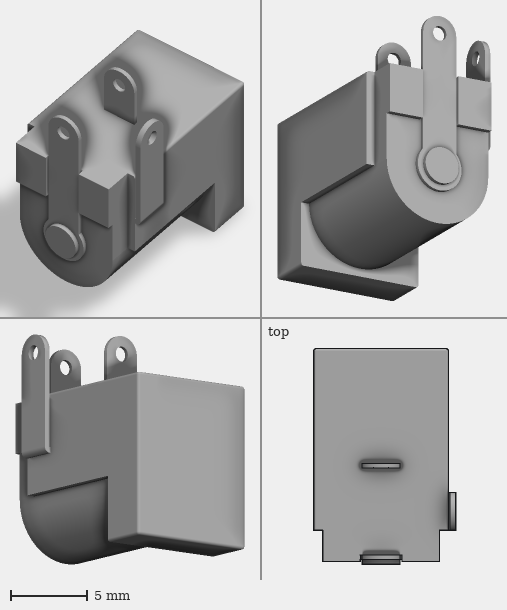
import cadquery as cq


body_width = 8.88
body_height = 10.9
body_depth = 11.96
foot_depth = 3.3
edge_radius = 0.2

barrel_radius = 3.85
barrel_z = 4.4
barrel_front = 13.57

pad_front = 14.0
pad_bottom = 7.54
pad_gap = 2.71

total_height = 14.9
tab_width = 2.5
tab_thickness = 0.3
tab_hole_diameter = 1.0
tab_hole_drop = 1.2
middle_tab_front = 7.85
side_tab_thickness = 0.4
side_tab_outer_x = 4.92
side_tab_bottom = 6.85
bend_radius = 0.39

washer_radius = 1.65
rivet_radius = tab_width / 2
rivet_front = 14.2


def block(width, front, back, bottom, top):
    """Box centred on X; front and back are distances from the back face."""
    return (
        cq.Workplane("XY")
        .box(width, front - back, top - bottom, centered=(True, False, False))
        .translate((0, -front, bottom))
    )


def disc(radius, front, back):
    """Cylinder on the barrel axis, running along Y."""
    return (
        cq.Workplane("XZ", origin=(0, -back, barrel_z))
        .circle(radius)
        .extrude(front - back)
    )


def tab(bottom, thickness):
    """Round-topped terminal centred on X, its back at Y = 0 and its front at -thickness."""
    round_z = total_height - tab_width / 2
    return (
        cq.Workplane("XZ")
        .moveTo(-tab_width / 2, bottom)
        .lineTo(tab_width / 2, bottom)
        .lineTo(tab_width / 2, round_z)
        .threePointArc((0, total_height), (-tab_width / 2, round_z))
        .close()
        .pushPoints([(0, total_height - tab_hole_drop)])
        .circle(tab_hole_diameter / 2)
        .extrude(thickness)
    )


def make_housing():
    """Rounded box, cut away in front of the foot and below the barrel axis."""
    box = block(body_width, body_depth, 0, 0, body_height)
    box = box.edges("|Y or >Y").fillet(edge_radius)
    return box.cut(block(body_width, body_depth, foot_depth, 0, barrel_z))


def make_nose():
    """Barrel, the narrow block above it and the two front pads."""
    nose = disc(barrel_radius, barrel_front, 0)
    nose = nose.union(block(2 * barrel_radius, barrel_front, foot_depth, barrel_z, body_height))
    pads = block(2 * barrel_radius, pad_front, barrel_front, pad_bottom, body_height)
    pads = pads.cut(block(pad_gap, pad_front, barrel_front, pad_bottom, body_height))
    return nose.union(pads)


def make_side_tab():
    """Terminal standing clear of the +X side, joined to it by a rounded bend."""
    upright = tab(side_tab_bottom, side_tab_thickness)
    upright = upright.rotate((0, 0, 0), (0, 0, 1), 90)
    upright = upright.translate((side_tab_outer_x - side_tab_thickness, tab_width / 2 - body_depth, 0))
    bend = cq.Workplane("XY").box(
        side_tab_outer_x, tab_width, side_tab_thickness, centered=False
    )
    bend = bend.translate((0, -body_depth, side_tab_bottom))
    return upright.union(bend).edges("|Y and >X and <Z").fillet(bend_radius)


washer_front = barrel_front + tab_thickness
middle_tab_y = tab_thickness - middle_tab_front

result = make_housing().union(make_nose())
result = result.union(tab(body_height, tab_thickness).translate((0, middle_tab_y, 0)))
result = result.union(tab(barrel_z, tab_thickness).translate((0, -barrel_front, 0)))
result = result.union(disc(washer_radius, washer_front, barrel_front))
result = result.union(disc(rivet_radius, rivet_front, washer_front))
result = result.union(make_side_tab())